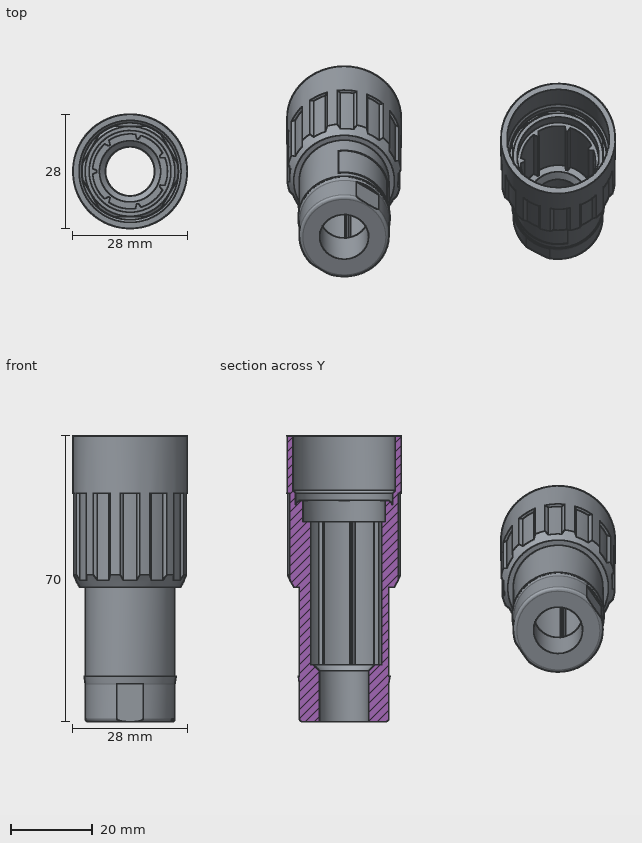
import cadquery as cq
import math

total_height = 70.0
body_radius = 11.0
end_round = 0.85
wrench_flat_offset = 10.5
wrench_flat_top = 9.4

collar_top = 11.1
collar_radius = 11.3

sleeve_radius = 14.0
sleeve_bottom = 32.9
sleeve_bottom_radius = 12.3
sleeve_cone_top = 36.0

groove_count = 12
groove_top = 55.9
groove_floor_radius = 13.3
groove_half_angle = 9.9
groove_floor_half_angle = 7.0

label_bottom = 14.0
label_top = 26.95
label_half_width = 7.1
label_depth = 0.15

mouth_radius = 25.0 / 2
mouth_depth = 13.4
socket_radius = 23.7 / 2
socket_floor = 53.2

nose_top = 54.2
nose_radius = 23.5 / 2
nose_top_radius = 11.0
nose_chamfer_height = 0.55
hexagon_apothem = 11.05

upper_bore_radius = 20.0 / 2
upper_bore_floor = 49.0
key_bore_radius = 9.2
key_bore_floor = 14.0
seat_radius = 7.5
through_radius = 12.0 / 2

key_count = 7
key_tip_radius = 8.1
key_base_half_width = 0.7
key_tip_half_width = 0.2
key_root_overlap = 0.35


def cylinder(radius, bottom, top):
    return cq.Workplane("XY").workplane(offset=bottom).circle(radius).extrude(top - bottom)


def around(angle_degrees, radius):
    angle = math.radians(angle_degrees)
    return (radius * math.cos(angle), radius * math.sin(angle))


def make_outer_body():
    """Body, collar and sleeve as one turned shape."""
    outline = (
        cq.Workplane("XZ")
        .moveTo(0, 0)
        .lineTo(body_radius - end_round, 0)
        .radiusArc((body_radius, end_round), -end_round)
        .lineTo(body_radius, wrench_flat_top)
        .lineTo(collar_radius, collar_top)
        .lineTo(body_radius, collar_top)
        .lineTo(body_radius, sleeve_bottom)
        .lineTo(sleeve_bottom_radius, sleeve_bottom)
        .lineTo(sleeve_radius, sleeve_cone_top)
        .lineTo(sleeve_radius, total_height)
        .lineTo(0, total_height)
        .close()
    )
    return outline.revolve(360, (0, 0, 0), (0, 1, 0))


def make_socket():
    """Mouth and socket joined by a 45 degree step, leaving room for the nose."""
    mouth_floor = total_height - mouth_depth
    step_bottom = mouth_floor - (mouth_radius - socket_radius)
    outline = (
        cq.Workplane("XZ")
        .moveTo(0, socket_floor)
        .lineTo(socket_radius, socket_floor)
        .lineTo(socket_radius, step_bottom)
        .lineTo(mouth_radius, mouth_floor)
        .lineTo(mouth_radius, total_height)
        .lineTo(0, total_height)
        .close()
    )
    return outline.revolve(360, (0, 0, 0), (0, 1, 0))


def make_nose():
    """Chamfered nose with six flats."""
    chamfer_width = nose_radius - nose_top_radius
    nose = (
        cylinder(nose_radius, socket_floor, nose_top)
        .faces(">Z")
        .edges()
        .chamfer(nose_chamfer_height, chamfer_width)
    )
    hexagon_diameter = 2 * hexagon_apothem / math.cos(math.pi / 6)
    hexagon = cq.Workplane("XY").polygon(6, hexagon_diameter).extrude(total_height)
    return nose.intersect(hexagon)


def make_bore():
    """Stepped bore with a 45 degree seat above the through hole."""
    seat_bottom = key_bore_floor - (seat_radius - through_radius)
    outline = (
        cq.Workplane("XZ")
        .moveTo(0, 0)
        .lineTo(through_radius, 0)
        .lineTo(through_radius, seat_bottom)
        .lineTo(seat_radius, key_bore_floor)
        .lineTo(key_bore_radius, key_bore_floor)
        .lineTo(key_bore_radius, upper_bore_floor)
        .lineTo(upper_bore_radius, upper_bore_floor)
        .lineTo(upper_bore_radius, nose_top)
        .lineTo(0, nose_top)
        .close()
    )
    return outline.revolve(360, (0, 0, 0), (0, 1, 0))


def make_key(angle):
    root_radius = key_bore_radius + key_root_overlap
    key_outline = [
        (root_radius, -key_base_half_width),
        (key_bore_radius, -key_base_half_width),
        (key_tip_radius, -key_tip_half_width),
        (key_tip_radius, key_tip_half_width),
        (key_bore_radius, key_base_half_width),
        (root_radius, key_base_half_width),
    ]
    key = (
        cq.Workplane("XY")
        .workplane(offset=key_bore_floor)
        .polyline(key_outline)
        .close()
        .extrude(upper_bore_floor - key_bore_floor)
    )
    return key.rotate((0, 0, 0), (0, 0, 1), angle)


def make_groove(angle):
    """Groove with a round floor and flared side walls."""
    beyond_half_angle = 2 * groove_half_angle - groove_floor_half_angle
    beyond_radius = 2 * sleeve_radius - groove_floor_radius
    groove = (
        cq.Workplane("XY")
        .workplane(offset=sleeve_bottom)
        .moveTo(*around(-groove_floor_half_angle, groove_floor_radius))
        .threePointArc(
            (groove_floor_radius, 0),
            around(groove_floor_half_angle, groove_floor_radius),
        )
        .lineTo(*around(groove_half_angle, sleeve_radius))
        .lineTo(*around(beyond_half_angle, beyond_radius))
        .threePointArc((beyond_radius, 0), around(-beyond_half_angle, beyond_radius))
        .lineTo(*around(-groove_half_angle, sleeve_radius))
        .close()
        .extrude(groove_top - sleeve_bottom)
    )
    return groove.rotate((0, 0, 0), (0, 0, 1), angle)


def make_wrench_flat_cut():
    """Material outside the two parallel flats at the lower end."""
    stock = cylinder(sleeve_radius, 0, wrench_flat_top)
    kept = cq.Workplane("XY").box(
        2 * sleeve_radius, 2 * wrench_flat_offset, 2 * wrench_flat_top
    )
    return stock.cut(kept)


def make_label_recess():
    height = label_top - label_bottom
    window = (
        cq.Workplane("XY")
        .workplane(offset=label_bottom)
        .rect(2 * label_half_width, sleeve_radius)
        .extrude(height)
        .translate((0, sleeve_radius / 2, 0))
    )
    return window.cut(cylinder(body_radius - label_depth, label_bottom, label_top))


shell = make_outer_body().cut(make_socket()).union(make_nose()).cut(make_bore())
for index in range(key_count):
    shell = shell.union(make_key(180 + index * 360 / key_count))
for index in range(groove_count):
    shell = shell.cut(make_groove(index * 360 / groove_count))

result = shell.cut(make_wrench_flat_cut()).cut(make_label_recess())